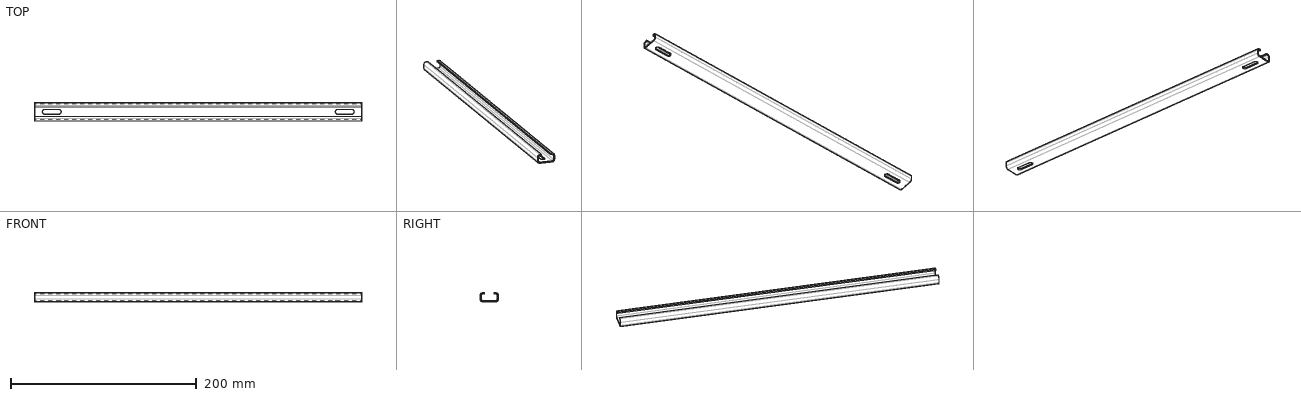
import cadquery as cq

LENGTH = 352.0
WIDTH = 20.0
HEIGHT = 10.0

THICKNESS = 1.5
OUTER_BEND_RADIUS = 3.0
INNER_BEND_RADIUS = OUTER_BEND_RADIUS - THICKNESS
MOUTH_WIDTH = 10.5

SLOT_LENGTH = 20.0
SLOT_WIDTH = 5.0
SLOT_END_DISTANCE = 18.5


def rounded_bar(width, height, radius):
    """Full-length bar along X with its four long edges rounded, centred on the origin."""
    return cq.Workplane("XY").box(LENGTH, width, height).edges("|X").fillet(radius)


def make_channel():
    """C-shaped rail: a rounded tube opened along the top between two lips."""
    outside = rounded_bar(WIDTH, HEIGHT, OUTER_BEND_RADIUS)
    inside = rounded_bar(WIDTH - 2 * THICKNESS, HEIGHT - 2 * THICKNESS, INNER_BEND_RADIUS)
    mouth = cq.Workplane("XY").box(LENGTH, MOUTH_WIDTH, HEIGHT / 2, centered=(True, True, False))
    return outside.cut(inside).cut(mouth)


def cut_fixing_slots(channel):
    """Cut the slots through the floor, lengthwise along the centreline."""
    slot_offset = LENGTH / 2 - SLOT_END_DISTANCE
    slots = (
        cq.Workplane("XY", origin=(0, 0, -HEIGHT / 2))
        .pushPoints([(-slot_offset, 0), (slot_offset, 0)])
        .slot2D(SLOT_LENGTH, SLOT_WIDTH)
        .extrude(THICKNESS)
    )
    return channel.cut(slots)


result = cut_fixing_slots(make_channel())